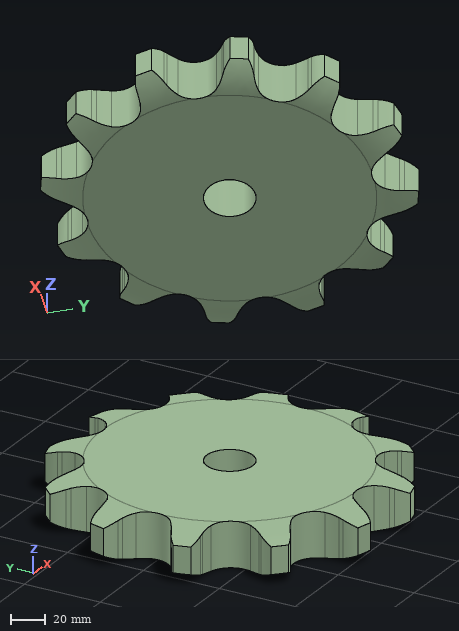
import cadquery as cq
import math

TOOTH_COUNT = 12
OUTER_SIZE = 211.9
THICKNESS = 29.5
BORE_DIAMETER = 30.0
PITCH_DIAMETER = 196.2
ROLLER_DIAMETER = 29.2
FACE_DIAMETER = 168.5
TIP_THICKNESS = 17.5

SEAT_CLEARANCE = 1.005
LOWER_FLANK_OFFSET = 0.8
TIP_ARC_OFFSET = 1.4

TOOTH_ANGLE = 360.0 / TOOTH_COUNT
SEAT_ANGLE = 35.0 + 60.0 / TOOTH_COUNT
LOWER_FLANK_ANGLE = 18.0 - 56.0 / TOOTH_COUNT


def polar(center, radius, degrees):
    """Point at a distance and direction from a center."""
    angle = math.radians(degrees)
    return (center[0] + radius * math.cos(angle), center[1] + radius * math.sin(angle))


def right_flank():
    """Points along the right half of the tooth gap centered on +Y, from its root to the tooth tip."""
    seat_center = (0.0, PITCH_DIAMETER / 2)
    seat_radius = SEAT_CLEARANCE * ROLLER_DIAMETER / 2
    lower_offset = LOWER_FLANK_OFFSET * ROLLER_DIAMETER
    tip_offset = TIP_ARC_OFFSET * ROLLER_DIAMETER
    line_normal = LOWER_FLANK_ANGLE - SEAT_ANGLE

    lower_center = polar(seat_center, lower_offset, 180.0 - SEAT_ANGLE)
    lower_radius = lower_offset + seat_radius

    tip_center = polar(seat_center, tip_offset, -TOOTH_ANGLE / 2)
    center_spacing = (
        lower_offset * math.cos(math.radians(LOWER_FLANK_ANGLE))
        + tip_offset * math.cos(math.radians(line_normal + TOOTH_ANGLE / 2))
    )
    tip_radius = center_spacing - lower_radius

    corner_direction = 180.0 - math.degrees(math.asin((OUTER_SIZE / 2 - tip_center[1]) / tip_radius))
    tip_start_direction = 180.0 + line_normal

    return {
        "root": polar(seat_center, seat_radius, -90.0),
        "seat_end": polar(seat_center, seat_radius, -SEAT_ANGLE),
        "lower_middle": polar(lower_center, lower_radius, (line_normal - SEAT_ANGLE) / 2),
        "lower_end": polar(lower_center, lower_radius, line_normal),
        "line_end": polar(tip_center, tip_radius, tip_start_direction),
        "tip_middle": polar(tip_center, tip_radius, (tip_start_direction + corner_direction) / 2),
        "corner": polar(tip_center, tip_radius, corner_direction),
    }


def rotate(point, degrees):
    """Point turned about the sprocket axis."""
    direction = math.degrees(math.atan2(point[1], point[0]))
    return polar((0.0, 0.0), math.hypot(*point), direction + degrees)


def toothed_blank(right):
    """Full-thickness plate with the sprocket outline."""
    left = {name: (-x, y) for name, (x, y) in right.items()}
    outline = cq.Workplane("XY").workplane(offset=-THICKNESS / 2).moveTo(*left["corner"])

    for index in range(TOOTH_COUNT):
        turn = -index * TOOTH_ANGLE
        right_turned = {name: rotate(point, turn) for name, point in right.items()}
        left_turned = {name: rotate(point, turn) for name, point in left.items()}
        if index > 0:
            outline = outline.lineTo(*left_turned["corner"])
        outline = outline.threePointArc(left_turned["tip_middle"], left_turned["line_end"])
        outline = outline.lineTo(*left_turned["lower_end"])
        outline = outline.threePointArc(left_turned["lower_middle"], left_turned["seat_end"])
        outline = outline.threePointArc(right_turned["root"], right_turned["seat_end"])
        outline = outline.threePointArc(right_turned["lower_middle"], right_turned["lower_end"])
        outline = outline.lineTo(*right_turned["line_end"])
        outline = outline.threePointArc(right_turned["tip_middle"], right_turned["corner"])

    return outline.close().extrude(THICKNESS)


def rounding_envelope(tip_radius):
    """Revolved disc whose sides curve from the flat faces down to the tooth tips."""
    face_radius = FACE_DIAMETER / 2
    half_thickness = THICKNESS / 2
    half_tip = TIP_THICKNESS / 2

    run = tip_radius - face_radius
    drop = half_thickness - half_tip
    side_radius = (run**2 + drop**2) / (2 * drop)
    sweep = math.degrees(math.asin(run / side_radius))
    middle = polar((face_radius, half_thickness - side_radius), side_radius, 90.0 - sweep / 2)

    return (
        cq.Workplane("XZ")
        .moveTo(0, -half_thickness)
        .lineTo(face_radius, -half_thickness)
        .threePointArc((middle[0], -middle[1]), (tip_radius, -half_tip))
        .lineTo(tip_radius, half_tip)
        .threePointArc(middle, (face_radius, half_thickness))
        .lineTo(0, half_thickness)
        .close()
        .revolve(360, (0, 0, 0), (0, 1, 0))
    )


flank_points = right_flank()
corner_radius = math.hypot(*flank_points["corner"])
sprocket = toothed_blank(flank_points).intersect(rounding_envelope(corner_radius))
result = sprocket.faces(">Z").workplane(origin=(0, 0, 0)).hole(BORE_DIAMETER)